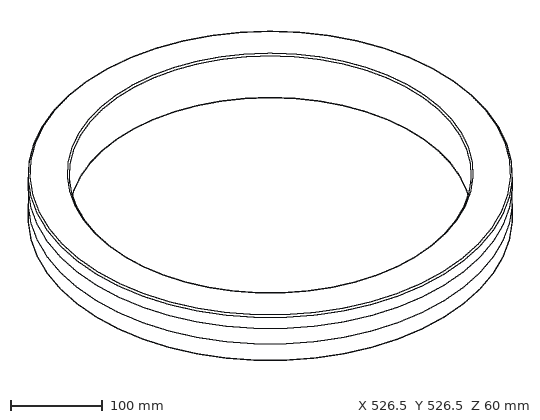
import cadquery as cq

outer_diameter = 526.5
bore_diameter = 437.0
height = 60.0
edge_chamfer = 2.0

groove_diameter = 21.0
groove_height = 32.5
groove_offset = 1.5

outer_radius = outer_diameter / 2
bore_radius = bore_diameter / 2


def make_ring():
    """Ring with chamfers on its outer top edge and on both ends of the bore."""
    ring = cq.Workplane("XY").circle(outer_radius).circle(bore_radius).extrude(height)
    ring = ring.faces(">Z").edges().chamfer(edge_chamfer)
    bore_bottom_edge = cq.selectors.RadiusNthSelector(0)
    return ring.faces("<Z").edges(bore_bottom_edge).chamfer(edge_chamfer)


def make_groove_cutter():
    """Torus whose tube is centred just outside the outer wall."""
    centre_radius = outer_radius + groove_offset
    tube = cq.Workplane("XZ").center(centre_radius, groove_height).circle(groove_diameter / 2)
    axis_start = (-centre_radius, 0)
    axis_end = (-centre_radius, 1)
    return tube.revolve(360, axis_start, axis_end)


result = make_ring().cut(make_groove_cutter())